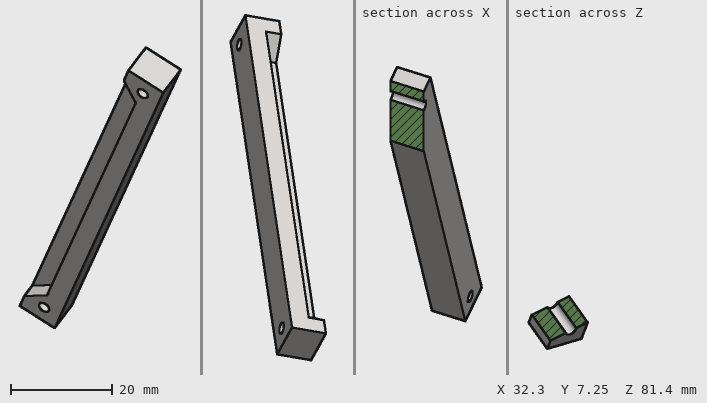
import cadquery as cq
import math

overall_height = 81.4
width = 8.2
thickness = 7.25
lean_angle = 17.2
lean = math.radians(lean_angle)
length = (overall_height - width * math.sin(lean)) / math.cos(lean)

pocket_depth = 3.25
pocket_width = 4.1
pocket_mouth_end = 3.5
pocket_floor_end = 7.6

hole_diameter = 2.3
hole_end_distance = 3.8
hole_side_distance = 4.55

left = -width / 2
front = -thickness / 2
half_length = length / 2


def make_bar():
    return cq.Workplane("XY").box(width, thickness, length)


def make_pocket():
    inner = left + pocket_width
    mouth_z = half_length - pocket_mouth_end
    inner_z = half_length - pocket_floor_end
    outline = [(left, -mouth_z), (inner, -inner_z), (inner, inner_z), (left, mouth_z)]
    return (
        cq.Workplane("XZ", origin=(0, front, 0))
        .polyline(outline)
        .close()
        .extrude(-pocket_depth)
    )


def make_holes():
    hole_x = left + hole_side_distance
    hole_z = half_length - hole_end_distance
    return (
        cq.Workplane("XZ", origin=(0, front, 0))
        .pushPoints([(hole_x, -hole_z), (hole_x, hole_z)])
        .circle(hole_diameter / 2)
        .extrude(-thickness)
    )


upright = make_bar().cut(make_pocket()).cut(make_holes())
result = upright.rotate((0, 0, 0), (0, 1, 0), lean_angle)